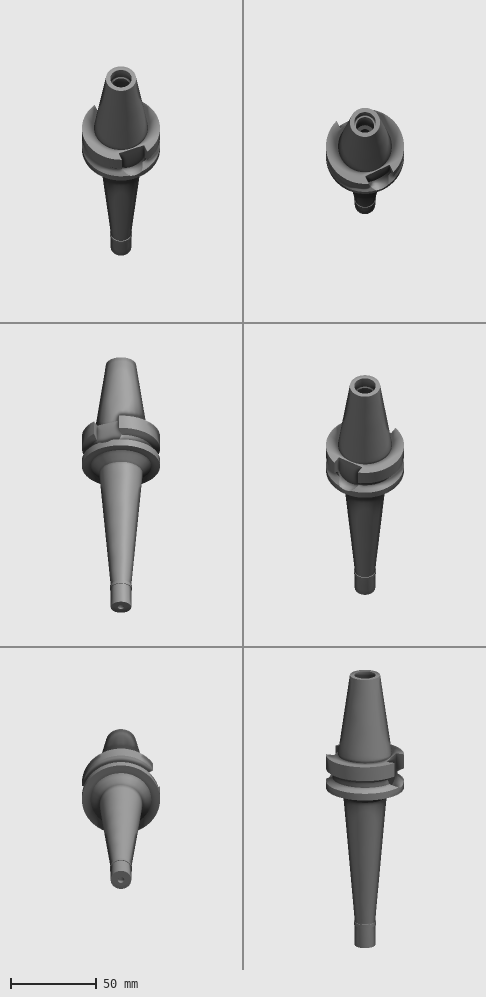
import cadquery as cq

total_length = 168.4

nut_diameter = 12.1
collar_diameter = 13.0
collar_bottom_z = 12.6
collar_top_z = 14.7
nut_top_z = 15.2

collet_outer_diameter = 5.9
collet_bore_diameter = 3.9
collet_length = 30.3

nose_top_z = 93.1
nose_tip_radius = nut_diameter / 2
nose_top_radius = 12.8

flange_diameter = 46.0
flange_radius = flange_diameter / 2
groove_radius = 19.2
flange_bottom_z = 98.2
groove_lower_edge_z = 102.4
groove_floor_bottom_z = 104.7
groove_floor_top_z = 108.0
groove_upper_edge_z = 110.3
flange_top_z = 118.9
shoulder_radius = nose_top_radius + (flange_bottom_z - nose_top_z)

taper_length = 48.3
taper_large_radius = 15.8
taper_small_radius = 9.0
gauge_z = total_length - taper_length

pilot_bore_diameter = 12.6
pilot_bore_depth = 6.9
thread_bore_diameter = 10.6
thread_bore_depth = 23.5

keyway_width = 16.0
keyway_floor_x = 16.5
keyway_bottom_z = 101.4


def cylinder(diameter, bottom_z, top_z):
    """Solid cylinder on the spindle axis."""
    return cq.Workplane("XY").workplane(offset=bottom_z).circle(diameter / 2).extrude(top_z - bottom_z)


def make_keyway_cutter(side):
    """Round-bottomed slot, open at the top and the rim; side is -1 or +1 along X."""
    half_width = keyway_width / 2
    arc_centre_z = keyway_bottom_z + half_width
    return (
        cq.Workplane("YZ")
        .workplane(offset=side * keyway_floor_x)
        .moveTo(-half_width, flange_top_z)
        .lineTo(-half_width, arc_centre_z)
        .threePointArc((0, keyway_bottom_z), (half_width, arc_centre_z))
        .lineTo(half_width, flange_top_z)
        .close()
        .extrude(side * (flange_radius - keyway_floor_x))
    )


def make_holder():
    """Holder: nose cone, grooved flange and spindle taper, with a stepped through bore."""
    outline = [
        (0, nut_top_z),
        (nose_tip_radius, nut_top_z),
        (nose_top_radius, nose_top_z),
        (shoulder_radius, flange_bottom_z),
        (flange_radius, flange_bottom_z),
        (flange_radius, groove_lower_edge_z),
        (groove_radius, groove_floor_bottom_z),
        (groove_radius, groove_floor_top_z),
        (flange_radius, groove_upper_edge_z),
        (flange_radius, flange_top_z),
        (taper_large_radius, flange_top_z),
        (taper_large_radius, gauge_z),
        (taper_small_radius, total_length),
        (0, total_length),
    ]
    holder = cq.Workplane("XZ").polyline(outline).close().revolve(360, (0, 0), (0, 1))
    for side in (-1, 1):
        holder = holder.cut(make_keyway_cutter(side))

    holder = holder.cut(cylinder(pilot_bore_diameter, total_length - pilot_bore_depth, total_length))
    holder = holder.cut(cylinder(thread_bore_diameter, total_length - thread_bore_depth, total_length))
    return holder.cut(cylinder(collet_outer_diameter, nut_top_z, total_length))


def make_nut():
    """Clamping nut: plain sleeve with a collar just below the nose, bored for the collet."""
    sleeve = cylinder(nut_diameter, 0, nut_top_z)
    collar = cylinder(collar_diameter, collar_bottom_z, collar_top_z)
    return sleeve.union(collar).cut(cylinder(collet_outer_diameter, 0, nut_top_z))


def make_collet():
    """Collet: tube that fills the nut bore and the lower end of the holder bore."""
    tube = cylinder(collet_outer_diameter, 0, collet_length)
    return tube.cut(cylinder(collet_bore_diameter, 0, collet_length))


holder = make_holder()
nut = make_nut()
collet = make_collet()

result = cq.Compound.makeCompound([holder.val(), nut.val(), collet.val()])